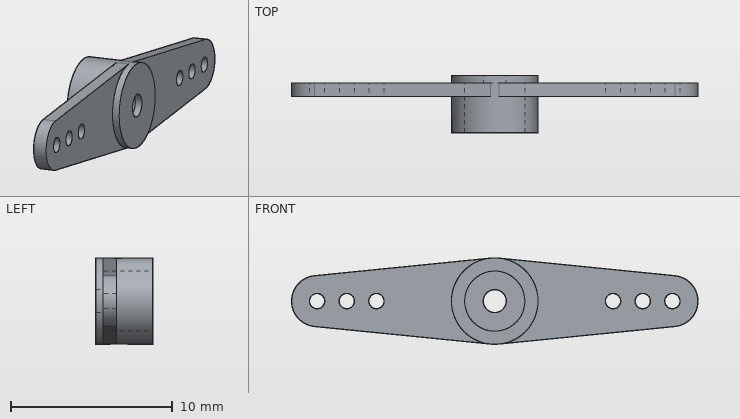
import cadquery as cq
import math

length = 25.1
hub_diameter = 5.35
hub_height = 3.55

tip_radius = 1.58
arm_thickness = 0.85
arm_setback = 0.45

socket_diameter = 3.72
screw_diameter = 1.4
floor_thickness = arm_setback
link_hole_diameter = 0.93
link_hole_pitch = 1.83
link_holes_per_arm = 3

hub_radius = hub_diameter / 2
tip_center = length / 2 - tip_radius
back_y = hub_height / 2
arm_back_y = back_y - arm_setback


def cylinder(x, start_y, diameter, depth):
    """Cylinder along Y, running from start_y toward -Y."""
    return (
        cq.Workplane("XZ", origin=(x, start_y, 0))
        .circle(diameter / 2)
        .extrude(depth)
    )


def make_arms():
    """Plate with edges tangent to the hub and round tips, closed by chords inside the hub."""
    taper = math.asin((hub_radius - tip_radius) / tip_center)
    hub_x = hub_radius * math.sin(taper)
    hub_z = hub_radius * math.cos(taper)
    tip_x = tip_center + tip_radius * math.sin(taper)
    tip_z = tip_radius * math.cos(taper)
    return (
        cq.Workplane("XZ", origin=(0, arm_back_y, 0))
        .moveTo(hub_x, hub_z)
        .lineTo(tip_x, tip_z)
        .threePointArc((length / 2, 0), (tip_x, -tip_z))
        .lineTo(hub_x, -hub_z)
        .lineTo(-hub_x, -hub_z)
        .lineTo(-tip_x, -tip_z)
        .threePointArc((-length / 2, 0), (-tip_x, tip_z))
        .lineTo(-hub_x, hub_z)
        .close()
        .extrude(arm_thickness)
    )


hub = cylinder(0, back_y, hub_diameter, hub_height)
result = hub.union(make_arms())

result = result.cut(cylinder(0, back_y - floor_thickness, socket_diameter, hub_height))
result = result.cut(cylinder(0, back_y, screw_diameter, hub_height))

for side in (-1, 1):
    for index in range(link_holes_per_arm):
        hole_x = side * (tip_center - index * link_hole_pitch)
        result = result.cut(cylinder(hole_x, arm_back_y, link_hole_diameter, arm_thickness))